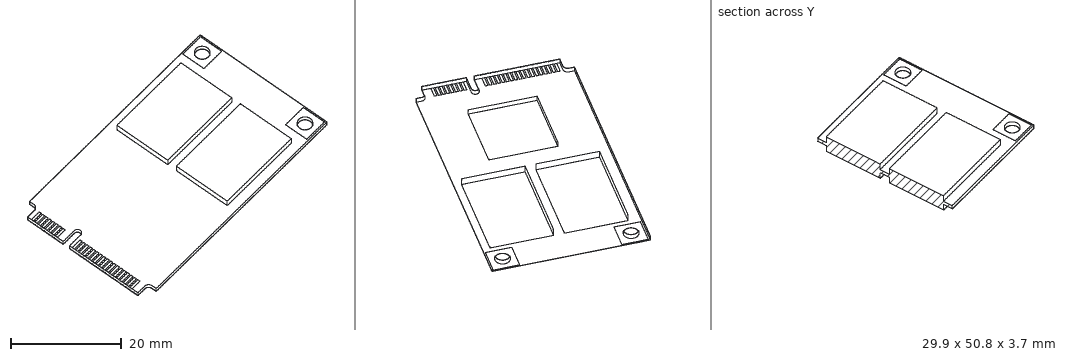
import cadquery as cq

board_width = 29.85
board_length = 50.8
board_thickness = 0.9
overall_height = 3.7
board_top = board_thickness / 2
front_edge = -board_length / 2
back_edge = board_length / 2

tongue_width = 26.0
tongue_length = 2.85
shoulder_radius = 0.9
key_x = -3.85
key_width = 1.45
key_depth = 3.85

foil_thickness = 0.02

contact_width = 0.5
contact_length = 2.2
contacts_left = 8
contacts_skipped = 4
contacts_right = 18
grid_count = contacts_left + contacts_skipped + contacts_right
right_row_span = 13.6
contact_pitch = right_row_span / (contacts_right - 1)
first_contact_x = -11.85

hole_diameter = 2.85
hole_spacing = 24.25
hole_inset = 2.8
land_size = 5.0

chip_width = 12.0
chip_length = 18.0
chip_height = (overall_height - board_thickness) / 2
chip_inset = 7.7

controller_size = 13.0
controller_height = 1.0
controller_inset = 30.3


def plate(width, length, height, x, y, side):
    """Block standing on the upper (side = 1) or lower (side = -1) board face."""
    z = side * (board_top + height / 2)
    return cq.Workplane("XY").box(width, length, height).translate((x, y, z))


def make_board():
    board = cq.Workplane("XY").box(board_width, board_length, board_thickness)
    shoulder_width = (board_width - tongue_width) / 2
    for side in (-1, 1):
        corner = (
            cq.Workplane("XY")
            .box(2 * shoulder_width, 2 * tongue_length, 2 * board_thickness)
            .edges("|Z")
            .fillet(shoulder_radius)
            .translate((side * board_width / 2, front_edge, 0))
        )
        board = board.cut(corner)
    key_slot = (
        cq.Workplane("XY")
        .center(key_x, front_edge)
        .slot2D(2 * key_depth, key_width, 90)
        .extrude(board_thickness, both=True)
    )
    return board.cut(key_slot)


def add_contacts(part):
    y = front_edge + contact_length / 2
    lower_first_x = first_contact_x + contact_pitch
    for side, first_x in ((1, first_contact_x), (-1, lower_first_x)):
        for index in range(grid_count):
            if contacts_left <= index < contacts_left + contacts_skipped:
                continue
            x = first_x + index * contact_pitch
            part = part.union(plate(contact_width, contact_length, foil_thickness, x, y, side))
    return part


def add_mounting_points(part):
    y = back_edge - hole_inset
    for x in (-hole_spacing / 2, hole_spacing / 2):
        for side in (-1, 1):
            part = part.union(plate(land_size, land_size, foil_thickness, x, y, side))
        hole = cq.Workplane("XY").center(x, y).circle(hole_diameter / 2)
        part = part.cut(hole.extrude(overall_height, both=True))
    return part


def add_chips(part):
    chip_x = (tongue_width - chip_width) / 2
    chip_y = back_edge - chip_inset - chip_length / 2
    for x in (-chip_x, chip_x):
        for side in (-1, 1):
            part = part.union(plate(chip_width, chip_length, chip_height, x, chip_y, side))
    controller_y = back_edge - controller_inset - controller_size / 2
    controller = plate(controller_size, controller_size, controller_height, 0, controller_y, -1)
    return part.union(controller)


result = add_chips(add_mounting_points(add_contacts(make_board())))